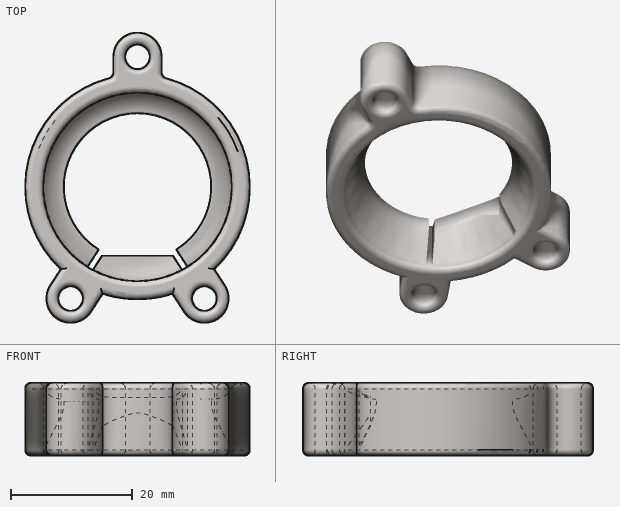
import cadquery as cq
import math

HEIGHT = 12.0
RING_RADIUS = 18.5
BORE_RADIUS = 15.5
EDGE_ROUND = 1.0

LUG_RADIUS = 4.0
LUG_HOLE_RADIUS = 2.0
BACK_LUG_Y = 21.4
FRONT_LUG_X = 11.0
FRONT_LUG_Y = -18.35
ARM_TILT = 33.0
ARM_ROOT_LENGTH = 6.5
NECK_FILLET = 1.0
HOLE_ROUND = 0.99 * EDGE_ROUND
RADIUS_TOLERANCE = 1e-6

LINER_TOP = HEIGHT - EDGE_ROUND
LINER_BOTTOM = EDGE_ROUND
C_LIP_RADIUS = 12.1
C_LIP_TOP = 9.35
LIP_ROUND = 0.4
BELLY_RADIUS = 6.0
BELLY_ANGLE = 27.5
FLAP_FRONT_Y = -11.28
FLAP_TOP = 9.6
SLOT_WIDTH = 1.0

ARM_DIRECTION = (math.sin(math.radians(ARM_TILT)), -math.cos(math.radians(ARM_TILT)))


def lug_blank(x, y, root_x, root_y):
    """Round lug joined to the ring by a straight arm of the same width."""
    root = cq.Vector(root_x, root_y, 0)
    along = cq.Vector(x, y, 0) - root
    arm_angle = math.degrees(math.atan2(along.y, along.x))
    arm = (
        cq.Workplane("XY")
        .rect(along.Length, 2 * LUG_RADIUS)
        .extrude(HEIGHT)
        .rotate((0, 0, 0), (0, 0, 1), arm_angle)
        .translate(root + along * 0.5)
    )
    return cq.Workplane("XY").center(x, y).circle(LUG_RADIUS).extrude(HEIGHT).union(arm)


def circles_on_ends(body, radius):
    """The body with only those top and bottom circular edges of the given radius selected."""
    rims = [
        edge for edge in body.faces("<Z or >Z").edges("%CIRCLE").vals()
        if abs(edge.radius() - radius) < RADIUS_TOLERANCE
    ]
    return body.newObject(rims)


def make_housing():
    body = cq.Workplane("XY").circle(RING_RADIUS).extrude(HEIGHT)

    body = body.union(lug_blank(0, BACK_LUG_Y, 0, BACK_LUG_Y - ARM_ROOT_LENGTH))
    neck_y = math.sqrt(RING_RADIUS**2 - LUG_RADIUS**2)
    for side in (-1, 1):
        neck = cq.selectors.NearestToPointSelector((side * LUG_RADIUS, neck_y, HEIGHT / 2))
        body = body.edges("|Z").edges(neck).fillet(NECK_FILLET)

    for side in (-1, 1):
        root_x = side * (FRONT_LUG_X - ARM_ROOT_LENGTH * ARM_DIRECTION[0])
        root_y = FRONT_LUG_Y - ARM_ROOT_LENGTH * ARM_DIRECTION[1]
        body = body.union(lug_blank(side * FRONT_LUG_X, FRONT_LUG_Y, root_x, root_y))
    body = body.faces("<Z or >Z").edges().fillet(EDGE_ROUND)

    bore = cq.Workplane("XY").circle(BORE_RADIUS).extrude(HEIGHT)
    body = body.cut(bore)
    body = circles_on_ends(body, BORE_RADIUS).fillet(EDGE_ROUND)

    lug_centres = [(0, BACK_LUG_Y), (-FRONT_LUG_X, FRONT_LUG_Y), (FRONT_LUG_X, FRONT_LUG_Y)]
    holes = cq.Workplane("XY").pushPoints(lug_centres).circle(LUG_HOLE_RADIUS).extrude(HEIGHT)
    body = body.cut(holes)
    return circles_on_ends(body, LUG_HOLE_RADIUS).fillet(HOLE_ROUND)


def liner_ring(lip_radius, lip_top):
    """Full liner turned about Z: funnel, rounded lip and undercut belly."""
    turn = math.radians(BELLY_ANGLE)
    level_radius = lip_radius + LIP_ROUND
    funnel_width = BORE_RADIUS - level_radius
    funnel_depth = LINER_TOP - lip_top
    funnel_radius = (funnel_width**2 + funnel_depth**2) / (2 * funnel_depth)
    half_sweep = math.atan2(funnel_depth, funnel_width)
    funnel_middle = (
        level_radius + funnel_radius * math.sin(half_sweep),
        lip_top + funnel_radius * (1 - math.cos(half_sweep)),
    )

    lip_z = lip_top - LIP_ROUND
    round_inset = LIP_ROUND * (1 - math.sqrt(0.5))

    def belly_point(angle):
        return (
            lip_radius + BELLY_RADIUS * (1 - math.cos(angle)),
            lip_z - BELLY_RADIUS * math.sin(angle),
        )

    return (
        cq.Workplane("XZ")
        .moveTo(BORE_RADIUS, LINER_TOP)
        .threePointArc(funnel_middle, (level_radius, lip_top))
        .threePointArc((lip_radius + round_inset, lip_top - round_inset), (lip_radius, lip_z))
        .threePointArc(belly_point(turn / 2), belly_point(turn))
        .lineTo(BORE_RADIUS, LINER_BOTTOM)
        .close()
        .revolve(360, (0, 0, 0), (0, 1, 0))
    )


def front_sector(widening):
    """Triangle between the front arm centrelines, each side moved outward by the widening."""
    tilt = math.radians(ARM_TILT)

    half_width_at_lugs = FRONT_LUG_X + widening / math.cos(tilt)
    apex_y = FRONT_LUG_Y + half_width_at_lugs / math.tan(tilt)
    outline = [(0, apex_y), (-half_width_at_lugs, FRONT_LUG_Y), (half_width_at_lugs, FRONT_LUG_Y)]
    return cq.Workplane("XY").polyline(outline).close().extrude(HEIGHT)


def make_c_lip():
    return liner_ring(C_LIP_RADIUS, C_LIP_TOP).cut(front_sector(SLOT_WIDTH / 2))


def make_flap():
    outside_edge = (
        cq.Workplane("XY")
        .rect(2 * RING_RADIUS, RING_RADIUS)
        .extrude(HEIGHT)
        .translate((0, FLAP_FRONT_Y - RING_RADIUS / 2, 0))
    )
    sector = front_sector(-SLOT_WIDTH / 2).intersect(outside_edge)
    lip_radius = -FLAP_FRONT_Y - LIP_ROUND
    return liner_ring(lip_radius, FLAP_TOP).intersect(sector)


housing = make_housing().solids()
c_lip = make_c_lip().solids()
flap = make_flap().solids()

result = cq.Compound.makeCompound([housing.val(), c_lip.val(), flap.val()])